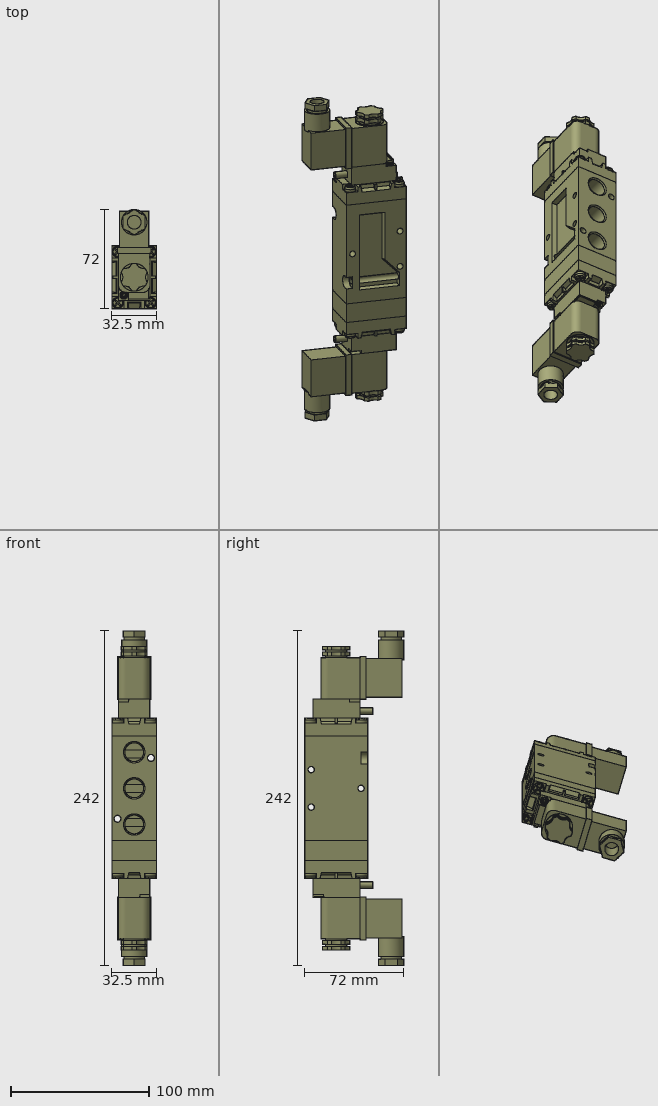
import cadquery as cq
import math


stack_width = 32.5
stack_depth = 45.7
half_width = stack_width / 2
mid_depth = stack_depth / 2
cap_top = 58.0
cap_bottom = 45.0
body_bottom = -30.7
body_middle = (cap_bottom + body_bottom) / 2

port_diameter = 15.5
port_chamfer = 1.0
port_depth = 12.0
port_pitch = 26.1
port_slot_pitch = 24.7
port_slot_height = 5.8
port_slot_depth = 1.2
front_hole_diameter = 4.8
front_hole_x = 12.0
front_hole_rise = 22.0
counterbore_diameter = 8.7
counterbore_depth = 4.8
side_hole_diameter = 4.4
side_hole_margin = 4.8
side_hole_rise = 13.5

pocket_depth = 3.6
pocket_draft = 15
pocket_back = 35.5
pocket_step = 16.5
pocket_front = 5.0
pocket_top = 36.3
pocket_bend = 0.2
pocket_bottom = -21.0

screw_inset = 4.4
screw_recess_diameter = 9.0
screw_recess_depth = 3.6
screw_head_diameter = 8.0
screw_head_height = 3.5
screw_cone_height = 1.5
screw_cone_inset = 0.6
screw_slot_width = 1.0
screw_slot_depth = 1.5
screw_slot_share = 0.65
scoop_edge_depth = 4.4
scoop_wall_depth = 2.7
scoop_draft = 1.0
scoop_wall_lean = 0.5
side_scoop_length = 21.3
side_scoop_reach = 3.6
front_scoop_length = 7.7
front_scoop_reach = 4.8
scoop_rib_width = 1.7
scoop_rib_setback = 1.0

block_width = 22.7
block_front = 6.0
block_back = 40.2
block_top = 71.8
notch_width = 7.3
notch_length = 7.7
notch_depth = 2.2
notch_screw_inset = 3.9
notch_screw_recess_diameter = 5.8
notch_screw_diameter = 4.4
notch_screw_height = 2.2
ledge_rim = 1.2
ledge_depth = 0.7
override_pin_diameter = 5.0
override_pin_length = 9.5
override_pin_z = 63.0
override_pin_chamfer = 0.5

coil_width = block_width
coil_front = 11.9
coil_top = 101.5
coil_corner_radius = 5.3
coil_seat_diameter = 20.0
coil_seat_depth = 0.5
nut_diameter = 20.0
nut_scallop_radius = 5.8
nut_root_radius = 8.2
nut_lobes = 6
nut_groove_diameter = 15.5
nut_levels = [(102.8, 105.7), (107.2, 109.8)]
flange_width = 24.5
flange_thickness = 4.4
flange_bottom = 71.4
flange_top = 102.5
plug_width = 21.3
plug_back = 70.6
plug_bottom = 72.8
plug_top = 101.0
barrel_diameter = 18.5
barrel_y = 62.7
barrel_bottom = 100.0
barrel_top = 114.5
gland_neck_diameter = 15.0
gland_bottom = 116.4
gland_top = 121.0
cable_hole_diameter = 10.0


def box(x_range, y_range, z_range):
    """Box between the given limits along each axis."""
    size = [high - low for low, high in (x_range, y_range, z_range)]
    corner = (x_range[0], y_range[0], z_range[0])
    return cq.Workplane("XY").box(*size, centered=False).translate(corner)


def cylinder_z(diameter, x, y, z_range):
    """Upright cylinder between two heights."""
    base = cq.Workplane("XY", origin=(x, y, z_range[0]))
    return base.circle(diameter / 2).extrude(z_range[1] - z_range[0])


def cylinder_y(diameter, x, z, y_range):
    """Cylinder along Y between two depths."""
    base = cq.Workplane("XZ", origin=(x, y_range[0], z))
    return base.circle(diameter / 2).extrude(y_range[0] - y_range[1])


def turned_over(shape):
    """Half a turn about the Y axis, from the upper end to the lower end."""
    return shape.rotate((0, 0, 0), (0, 1, 0), 180)


def stack_block(z_low, z_high):
    """Plain slice of the valve stack."""
    return box((-half_width, half_width), (0, stack_depth), (z_low, z_high))


def port(index):
    """Chamfered front port with a cross slot in its floor; index is -1, 0 or 1."""
    z = body_middle + index * port_pitch
    slot_z = body_middle + index * port_slot_pitch
    bore_diameter = port_diameter - 2 * port_chamfer
    slot_floor = port_depth + port_slot_depth
    bore = cylinder_y(bore_diameter, 0, z, (0, port_depth))
    mouth = cq.Workplane("XZ", origin=(0, 0, z)).circle(port_diameter / 2)
    mouth = mouth.extrude(-port_chamfer, taper=45)
    slot = box(
        (-bore_diameter / 2, bore_diameter / 2),
        (port_depth, slot_floor),
        (slot_z - port_slot_height / 2, slot_z + port_slot_height / 2),
    )
    slot = slot.intersect(cylinder_y(bore_diameter, 0, z, (0, slot_floor)))
    return bore.union(mouth).union(slot)


def front_hole(side):
    """Through hole along Y whose rear counterbore opens to the side; side is -1 or 1."""
    x = side * front_hole_x
    z = body_middle + side * front_hole_rise
    rear = (stack_depth - counterbore_depth, stack_depth)
    radius = counterbore_diameter / 2
    hole = cylinder_y(front_hole_diameter, x, z, (0, stack_depth))
    hole = hole.union(cylinder_y(counterbore_diameter, x, z, rear))
    opening = box(sorted((x, side * half_width)), rear, (z - radius, z + radius))
    return hole.union(opening)


def side_holes():
    """Three through holes along X, two near the front and one near the back."""
    places = [
        (side_hole_margin, body_middle + side_hole_rise),
        (side_hole_margin, body_middle - side_hole_rise),
        (stack_depth - side_hole_margin, body_middle),
    ]
    base = cq.Workplane("YZ", origin=(-half_width, 0, 0)).pushPoints(places)
    return base.circle(side_hole_diameter / 2).extrude(stack_width)


def side_pocket():
    """Drafted pocket on the -X side, deep enough to lay open part of one front hole."""
    outline = [
        (pocket_back, pocket_top),
        (pocket_step, pocket_top),
        (pocket_step, pocket_bend),
        (pocket_front, pocket_bend - (pocket_step - pocket_front)),
        (pocket_front, pocket_bottom),
        (pocket_back, pocket_bottom),
    ]
    side = cq.Workplane("YZ", origin=(-half_width, 0, 0))
    return side.polyline(outline).close().extrude(pocket_depth, taper=pocket_draft)


def make_valve_body():
    body = stack_block(body_bottom, cap_bottom)
    for index in (-1, 0, 1):
        body = body.cut(port(index))
    for side in (-1, 1):
        body = body.cut(front_hole(side))
    return body.cut(side_holes()).cut(side_pocket())


def make_spacer():
    return stack_block(-cap_bottom, body_bottom)


def corner_recess(x, y, x_edge, y_edge, diameter, z_range):
    """Screw recess around (x, y), round inside and cut square out to the corner."""
    radius = diameter / 2
    x_out = math.copysign(radius, x_edge - x)
    y_out = math.copysign(radius, y_edge - y)
    recess = cylinder_z(diameter, x, y, z_range)
    recess = recess.union(box(sorted((x, x_edge)), sorted((y - y_out, y_edge)), z_range))
    return recess.union(box(sorted((x - x_out, x_edge)), sorted((y, y_edge)), z_range))


def slotted_head(diameter, x, y, z_low, height):
    """Screw head with a conical top and a diagonal cross slot."""
    top = z_low + height
    head = cylinder_z(diameter, x, y, (z_low, top))
    head = head.faces(">Z").chamfer(screw_cone_height, screw_cone_inset)
    for angle in (45, -45):
        slot = cq.Workplane("XY", origin=(x, y, top)).transformed(rotate=(0, 0, angle))
        head = head.cut(slot.rect(diameter * screw_slot_share, screw_slot_width).extrude(-screw_slot_depth))
    return head


def scoop(length, reach):
    """Edge scoop centred on the origin, opening towards -X and +Z, with leaning walls."""
    top_half = length / 2 + scoop_draft
    ends = cq.Workplane("YZ").polyline([
        (-length / 2, -scoop_edge_depth),
        (length / 2, -scoop_edge_depth),
        (top_half, 0),
        (-top_half, 0),
    ]).close().extrude(reach)
    section = cq.Workplane("XZ", origin=(0, top_half, 0)).polyline([
        (0, -scoop_edge_depth),
        (reach - scoop_wall_lean, -scoop_wall_depth),
        (reach, 0),
        (0, 0),
    ]).close().extrude(2 * top_half)
    return ends.intersect(section)


def side_scoop():
    """Scoop for the side edge, divided by a rib that is set back from the side face."""
    rib = box(
        (scoop_rib_setback, side_scoop_reach),
        (-scoop_rib_width / 2, scoop_rib_width / 2),
        (-scoop_edge_depth, 0),
    )
    return scoop(side_scoop_length, side_scoop_reach).cut(rib)


def make_upper_cap():
    cap = stack_block(cap_bottom, cap_top)
    left_scoop = side_scoop().translate((-half_width, mid_depth, cap_top))
    right_scoop = left_scoop.mirror("YZ")
    front_scoop = scoop(front_scoop_length, front_scoop_reach)
    front_scoop = front_scoop.rotate((0, 0, 0), (0, 0, 1), 90).translate((0, 0, cap_top))
    cap = cap.cut(left_scoop).cut(right_scoop).cut(front_scoop)
    floor = cap_top - screw_recess_depth
    for x_edge in (-half_width, half_width):
        for y_edge in (0, stack_depth):
            x = x_edge - math.copysign(screw_inset, x_edge)
            y = screw_inset if y_edge == 0 else stack_depth - screw_inset
            cap = cap.cut(corner_recess(x, y, x_edge, y_edge, screw_recess_diameter, (floor, cap_top)))
            cap = cap.union(slotted_head(screw_head_diameter, x, y, floor, screw_head_height))
    return cap


def override_pin():
    """Manual override pin on the rear face of the pilot block."""
    tip = block_back + override_pin_length
    pin = cylinder_y(override_pin_diameter, 0, override_pin_z, (block_back, tip))
    return pin.faces(">Y").chamfer(override_pin_chamfer)


def front_ledge():
    """Shallow sunken ledge in the top face, in front of the coil."""
    return box(
        (notch_width - block_width / 2, block_width / 2 - ledge_rim),
        (block_front + ledge_rim, coil_front + coil_corner_radius),
        (block_top - ledge_depth, block_top),
    )


def make_upper_pilot():
    edge = block_width / 2
    block = box((-edge, edge), (block_front, block_back), (cap_top, block_top)).cut(front_ledge())
    notch_floor = block_top - notch_depth
    screw_floor = notch_floor - notch_screw_height
    corners = [(-edge, block_front, 1), (edge, block_back, -1)]
    for x_edge, y_edge, inward in corners:
        x_range = sorted((x_edge, x_edge + inward * notch_width))
        y_range = sorted((y_edge, y_edge + inward * notch_length))
        x = x_edge + inward * notch_screw_inset
        y = y_edge + inward * notch_screw_inset
        block = block.cut(box(x_range, y_range, (notch_floor, block_top)))
        block = block.cut(cylinder_z(notch_screw_recess_diameter, x, y, (screw_floor, notch_floor)))
        block = block.union(slotted_head(notch_screw_diameter, x, y, screw_floor, notch_screw_height))
    return block.union(override_pin())


def coil_nut():
    """Scalloped nut in two tiers with narrower grooves below and between them."""
    first_bottom = nut_levels[0][0]
    last_top = nut_levels[-1][1]
    nut = cylinder_z(nut_groove_diameter, 0, mid_depth, (coil_top - coil_seat_depth, last_top))
    for level in nut_levels:
        nut = nut.union(cylinder_z(nut_diameter, 0, mid_depth, level))
    scallop_distance = nut_root_radius + nut_scallop_radius
    scallops = cq.Workplane("XY", origin=(0, mid_depth, first_bottom))
    scallops = scallops.polarArray(scallop_distance, 0, 360, nut_lobes).circle(nut_scallop_radius)
    return nut.cut(scallops.extrude(last_top - first_bottom))


def make_upper_solenoid():
    half = coil_width / 2
    flange_back = block_back + flange_thickness
    coil = box((-half, half), (coil_front, block_back), (block_top, coil_top))
    coil = coil.edges("|Z and <Y").fillet(coil_corner_radius)
    seat = (coil_top - coil_seat_depth, coil_top)
    coil = coil.cut(cylinder_z(coil_seat_diameter, 0, mid_depth, seat)).union(coil_nut())

    flange_x = (-flange_width / 2, flange_width / 2)
    flange = box(flange_x, (block_back, flange_back), (flange_bottom, flange_top))
    plug_x = (-plug_width / 2, plug_width / 2)
    plug = box(plug_x, (flange_back, plug_back), (plug_bottom, plug_top))
    barrel = cylinder_z(barrel_diameter, 0, barrel_y, (barrel_bottom, barrel_top))
    neck = cylinder_z(gland_neck_diameter, 0, barrel_y, (barrel_top, gland_bottom))
    gland = cq.Workplane("XY", origin=(0, barrel_y, gland_bottom)).transformed(rotate=(0, 0, 90))
    gland = gland.polygon(6, barrel_diameter).extrude(gland_top - gland_bottom)
    cable_hole = cylinder_z(cable_hole_diameter, 0, barrel_y, (plug_top, gland_top))

    solenoid = coil
    for piece in (flange, plug, barrel, neck, gland):
        solenoid = solenoid.union(piece)
    return solenoid.cut(cable_hole)


valve_body = make_valve_body()
spacer = make_spacer()
bodies = [valve_body.val(), spacer.val()]
for make_upper in (make_upper_cap, make_upper_pilot, make_upper_solenoid):
    upper = make_upper()
    bodies.append(upper.val())
    bodies.append(turned_over(upper).val())

result = cq.Compound.makeCompound(bodies)